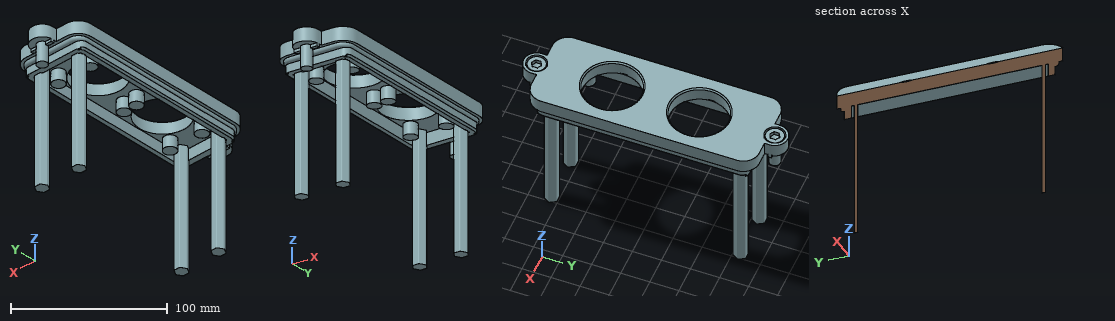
import cadquery as cq
import math

plate_width = 58.0
plate_length = 157.0
plate_thickness = 10.0
plate_corner_radius = 11.0

tab_radius = 9.0
screw_y = 82.0
tab_rib_width = 2.5
tab_rib_height = 2.2

opening_diameter = 40.0
opening_chamfer = 1.0
opening_spacing = 60.0

lip_width = 53.2
lip_length = 152.0
lip_height = 3.0
lip_corner_radius = 8.5
lip_fillet = 2.0

frame_width = 51.2
frame_length = 146.0
frame_bottom_z = -19.0
frame_corner_radius = 5.2
frame_wall = 5.0
frame_chamfer = 1.3
frame_end_strip = 1.5

leg_flats = 8.9
leg_edge_radius = 0.8
leg_x = 16.2
leg_y = 65.0
leg_bottom_z = -105.0

boss_diameter = 10.0
corner_boss_x = 14.0
corner_boss_y = 52.0
middle_boss_x = 5.5

counterbore_diameter = 14.0
counterbore_depth = 8.0
head_diameter = 12.4
head_recess = 0.6
shank_diameter = 8.0
screw_bottom_z = -25.4
socket_flats = 6.0
socket_depth = 2.5
socket_point_angle = 120.0

ends = (-1, 1)
hexagon_corners_per_flats = 1 / math.cos(math.pi / 6)


def rounded_block(width, length, top_z, bottom_z, corner_radius):
    """Block centred on the Z axis with rounded vertical edges."""
    block = cq.Workplane("XY", origin=(0, 0, bottom_z)).rect(width, length).extrude(top_z - bottom_z)
    return block.edges("|Z").fillet(corner_radius)


def cylinder(diameter, x, y, top_z, bottom_z):
    return cq.Workplane("XY", origin=(x, y, bottom_z)).circle(diameter / 2).extrude(top_z - bottom_z)


def tab_block(end, top_z, bottom_z):
    """Screw tab: a straight stretch out of the plate that ends in a half round."""
    neck = (
        cq.Workplane("XY", origin=(0, end * screw_y / 2, bottom_z))
        .rect(2 * tab_radius, screw_y)
        .extrude(top_z - bottom_z)
    )
    return neck.union(cylinder(2 * tab_radius, 0, end * screw_y, top_z, bottom_z))


def make_tab_rib(end):
    """Low rib across the underside of a tab, trimmed to the tab outline."""
    rib_bottom_z = -plate_thickness - tab_rib_height
    bar = cq.Workplane("XY").box(2 * tab_radius, tab_rib_width, tab_rib_height, centered=(True, True, False))
    bar = bar.translate((0, end * screw_y, rib_bottom_z))
    return bar.intersect(tab_block(end, -plate_thickness, rib_bottom_z))


def make_plate():
    plate = rounded_block(plate_width, plate_length, 0, -plate_thickness, plate_corner_radius)
    for end in ends:
        plate = plate.union(tab_block(end, 0, -plate_thickness))
        plate = plate.union(make_tab_rib(end))
    return plate


def make_lip():
    bottom_z = -plate_thickness - lip_height
    lip = rounded_block(lip_width, lip_length, -plate_thickness, bottom_z, lip_corner_radius)
    return lip.faces("<Z").edges().fillet(lip_fillet)


def make_frame():
    """Frame block with a chamfered bottom edge, except for a square-edged strip at each end."""
    block = rounded_block(frame_width, frame_length, -plate_thickness, frame_bottom_z, frame_corner_radius)
    frame = block.faces("<Z").edges().chamfer(frame_chamfer)
    inner_length = frame_length - 2 * frame_end_strip
    middle = cq.Workplane("XY").box(frame_width, inner_length, -2 * frame_bottom_z)
    return frame.union(block.cut(middle))


def make_frame_cavity():
    cavity_width = frame_width - 2 * frame_wall
    cavity_length = frame_length - 2 * frame_wall
    height = -plate_thickness - frame_bottom_z
    return cq.Workplane("XY", origin=(0, 0, frame_bottom_z)).rect(cavity_width, cavity_length).extrude(height)


def make_opening(y):
    """Through hole with a chamfered top rim."""
    bore = cylinder(opening_diameter, 0, y, 0, frame_bottom_z)
    rim_radius = opening_diameter / 2 + opening_chamfer
    rim = cq.Solid.makeCone(
        rim_radius - opening_chamfer, rim_radius, opening_chamfer, pnt=cq.Vector(0, y, -opening_chamfer)
    )
    return bore.union(cq.Workplane(rim))


def make_leg(x, y):
    leg = (
        cq.Workplane("XY", origin=(x, y, leg_bottom_z))
        .polygon(6, leg_flats * hexagon_corners_per_flats)
        .extrude(-plate_thickness - leg_bottom_z)
    )
    return leg.edges("|Z").fillet(leg_edge_radius)


def make_socket(y):
    """Hexagonal socket with a conical bottom, one corner pointing along Y."""
    corner_diameter = socket_flats * hexagon_corners_per_flats
    point_depth = corner_diameter / 2 / math.tan(math.radians(socket_point_angle / 2))
    full_depth = socket_depth + point_depth
    hexagon = (
        cq.Workplane("XY").polygon(6, corner_diameter).extrude(-full_depth).rotate((0, 0, 0), (0, 0, 1), 90)
    )
    drill = (
        cq.Workplane("XZ")
        .lineTo(corner_diameter / 2, 0)
        .lineTo(corner_diameter / 2, -socket_depth)
        .lineTo(0, -full_depth)
        .close()
        .revolve(360, (0, 0, 0), (0, 1, 0))
    )
    return hexagon.intersect(drill).translate((0, y, -head_recess))


def add_screw(body, y):
    """Sink a counterbore and fill it with a socket head screw."""
    body = body.cut(cylinder(counterbore_diameter, 0, y, 0, -counterbore_depth))
    body = body.union(cylinder(head_diameter, 0, y, -head_recess, -counterbore_depth))
    body = body.union(cylinder(shank_diameter, 0, y, -counterbore_depth, screw_bottom_z))
    return body.cut(make_socket(y))


result = make_plate().union(make_lip()).union(make_frame()).cut(make_frame_cavity())

for end in ends:
    result = result.cut(make_opening(end * opening_spacing / 2))
    result = add_screw(result, end * screw_y)

for side in ends:
    result = result.union(cylinder(boss_diameter, side * middle_boss_x, 0, -plate_thickness, frame_bottom_z))
    for end in ends:
        result = result.union(make_leg(side * leg_x, end * leg_y))
        corner_boss = cylinder(
            boss_diameter, side * corner_boss_x, end * corner_boss_y, -plate_thickness, frame_bottom_z
        )
        result = result.union(corner_boss)